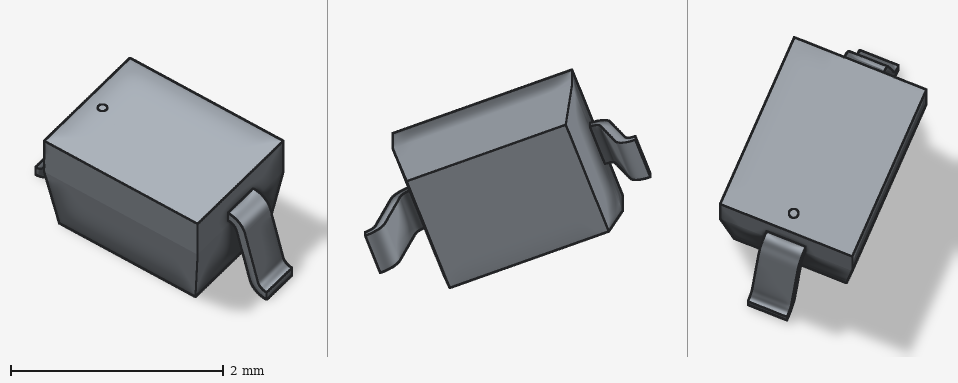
import cadquery as cq
import math

HOUSING_LENGTH = 1.805
HOUSING_WIDTH = 1.35
HOUSING_HEIGHT = 1.146
PARTING_HEIGHT = 0.725
DRAFT_ANGLE = 8.0

LEAD_SPAN = 2.72
LEAD_WIDTH = 0.4
LEAD_THICKNESS = 0.1
LEAD_TOP = 0.895
LEAD_TILT = math.radians(15.0)
BEND_INNER_RADIUS = 0.105
BEND_OUTER_RADIUS = BEND_INNER_RADIUS + LEAD_THICKNESS

MARKER_DIAMETER = 0.09
MARKER_DEPTH = 0.02
MARKER_X = -0.72


def make_marker():
    """Thin disc let into the top face near the -X end."""
    return (
        cq.Workplane("XY", origin=(MARKER_X, 0, HOUSING_HEIGHT - MARKER_DEPTH))
        .circle(MARKER_DIAMETER / 2)
        .extrude(MARKER_DEPTH)
    )


def make_housing():
    """Both housing blocks as one solid, with a recess for the marker."""
    parting = cq.Workplane("XY", origin=(0, 0, PARTING_HEIGHT))
    upper = parting.rect(HOUSING_LENGTH, HOUSING_WIDTH).extrude(HOUSING_HEIGHT - PARTING_HEIGHT)
    lower = (
        parting.workplane(invert=True)
        .rect(HOUSING_LENGTH, HOUSING_WIDTH)
        .extrude(PARTING_HEIGHT, taper=DRAFT_ANGLE)
    )
    return upper.union(lower).cut(make_marker())


def make_lead():
    """S-shaped strip from the +X end face of the housing down to its foot."""
    shoulder_x = HOUSING_LENGTH / 2
    foot_x = LEAD_SPAN / 2

    upper_center_z = LEAD_TOP - BEND_OUTER_RADIUS
    lower_center_z = BEND_OUTER_RADIUS
    radius_sum = BEND_INNER_RADIUS + BEND_OUTER_RADIUS
    center_drop = upper_center_z - lower_center_z
    leg_drop = center_drop + radius_sum * math.sin(LEAD_TILT)
    center_run = radius_sum * math.cos(LEAD_TILT) + leg_drop * math.tan(LEAD_TILT)
    end_flat = (foot_x - shoulder_x - center_run) / 2
    upper_center_x = shoulder_x + end_flat
    lower_center_x = foot_x - end_flat

    def upper_point(radius, angle):
        """Point on the upper bend, angle measured up from the +X direction."""
        return (upper_center_x + radius * math.cos(angle), upper_center_z + radius * math.sin(angle))

    def lower_point(radius, angle):
        """Point on the lower bend, angle measured down from the -X direction."""
        return (lower_center_x - radius * math.cos(angle), lower_center_z - radius * math.sin(angle))

    quarter_turn = math.pi / 2
    bend_middle = (LEAD_TILT + quarter_turn) / 2
    profile = (
        cq.Workplane("XZ")
        .moveTo(shoulder_x, LEAD_TOP)
        .lineTo(*upper_point(BEND_OUTER_RADIUS, quarter_turn))
        .threePointArc(
            upper_point(BEND_OUTER_RADIUS, bend_middle),
            upper_point(BEND_OUTER_RADIUS, LEAD_TILT),
        )
        .lineTo(*lower_point(BEND_INNER_RADIUS, LEAD_TILT))
        .threePointArc(
            lower_point(BEND_INNER_RADIUS, bend_middle),
            lower_point(BEND_INNER_RADIUS, quarter_turn),
        )
        .lineTo(foot_x, LEAD_THICKNESS)
        .lineTo(foot_x, 0)
        .lineTo(*lower_point(BEND_OUTER_RADIUS, quarter_turn))
        .threePointArc(
            lower_point(BEND_OUTER_RADIUS, bend_middle),
            lower_point(BEND_OUTER_RADIUS, LEAD_TILT),
        )
        .lineTo(*upper_point(BEND_INNER_RADIUS, LEAD_TILT))
        .threePointArc(
            upper_point(BEND_INNER_RADIUS, bend_middle),
            upper_point(BEND_INNER_RADIUS, quarter_turn),
        )
        .lineTo(shoulder_x, LEAD_TOP - LEAD_THICKNESS)
        .close()
    )
    return profile.extrude(LEAD_WIDTH / 2, both=True)


housing = make_housing()
marker = make_marker()
leads = []
for turn in (0, 180):
    lead = make_lead().rotate((0, 0, 0), (0, 0, 1), turn)
    leads.append(lead.val())

result = cq.Compound.makeCompound([housing.val(), marker.val(), *leads])